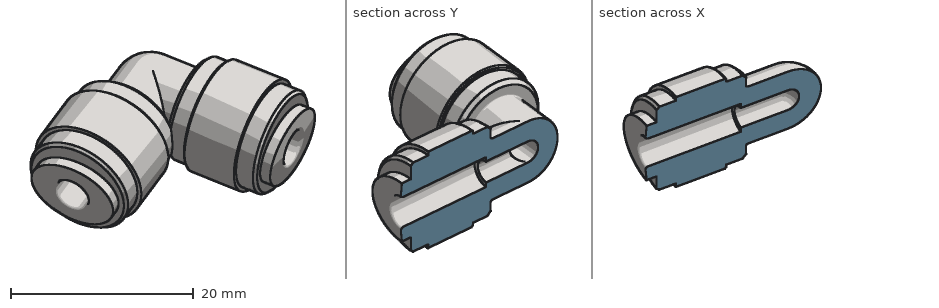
import cadquery as cq


neck_radius = 4.2
neck_flare = 0.2

body_start = 5.2
body_end = 16.5
body_radius = 6.1
body_inner_chamfer = 0.5
body_outer_chamfer_length = 0.35
body_outer_chamfer_depth = 0.33

band_start = 7.7
band_end = 14.05
band_radius = 6.6
band_chamfer = 0.2

arm_length = 17.9
collet_half_width = 5.1
collet_half_height = 4.0
collet_face_drop = 0.15

bore_radius = 1.4
socket_radius = 2.0
socket_depth = 12.0
mouth_rounding = 0.4
mouth_radius = socket_radius + mouth_rounding


def make_shell():
    """Neck, body and band of the +X arm, turned about the X axis."""
    body_rim_radius = body_radius - body_outer_chamfer_depth
    return (
        cq.Workplane("XY")
        .lineTo(0, neck_radius)
        .lineTo(body_start - neck_flare, neck_radius)
        .radiusArc((body_start, neck_radius + neck_flare), -neck_flare)
        .lineTo(body_start, body_radius - body_inner_chamfer)
        .lineTo(body_start + body_inner_chamfer, body_radius)
        .lineTo(band_start, body_radius)
        .lineTo(band_start, band_radius - band_chamfer)
        .lineTo(band_start + band_chamfer, band_radius)
        .lineTo(band_end, band_radius)
        .lineTo(band_end, body_radius)
        .lineTo(body_end - body_outer_chamfer_length, body_radius)
        .lineTo(body_end, body_rim_radius)
        .lineTo(body_end, 0)
        .close()
        .revolve(360, (0, 0, 0), (1, 0, 0))
    )


def make_collet():
    """Oval stub at the arm end, wide in Y; its face rises from the oval rim to the round mouth."""
    rim_station = arm_length - collet_face_drop
    stub = (
        cq.Workplane("YZ", origin=(band_end, 0, 0))
        .ellipse(collet_half_width, collet_half_height)
        .extrude(rim_station - band_end)
    )
    end_face = (
        cq.Workplane("YZ", origin=(rim_station, 0, 0))
        .ellipse(collet_half_width, collet_half_height)
        .workplane(offset=collet_face_drop)
        .circle(mouth_radius)
        .loft(ruled=True)
    )
    return stub.union(end_face)


def make_passage():
    """Flow bore, tube socket and rounded mouth of the +X arm."""
    socket_floor = arm_length - socket_depth
    return (
        cq.Workplane("XY")
        .lineTo(0, bore_radius)
        .lineTo(socket_floor, bore_radius)
        .lineTo(socket_floor, socket_radius)
        .lineTo(arm_length - mouth_rounding, socket_radius)
        .radiusArc((arm_length, mouth_radius), -mouth_rounding)
        .lineTo(arm_length, 0)
        .close()
        .revolve(360, (0, 0, 0), (1, 0, 0))
    )


def join_at_corner(arm, corner_radius):
    """Join the +X arm to its copy along -Y with a sphere at the corner."""
    second_arm = arm.rotate((0, 0, 0), (0, 0, 1), -90)
    return cq.Workplane("XY").sphere(corner_radius).union(arm).union(second_arm)


arm = make_shell().union(make_collet())
outside = join_at_corner(arm, neck_radius)
passage = join_at_corner(make_passage(), bore_radius)
result = outside.cut(passage)